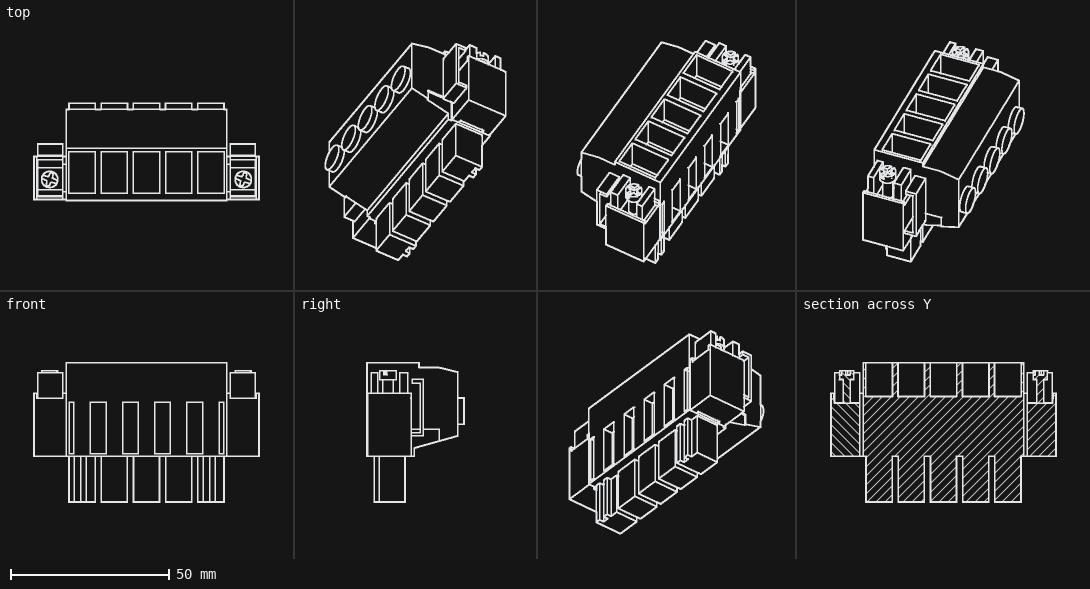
import cadquery as cq


POLES = 5
PITCH = 10.2
HOUSING_WIDTH = POLES * PITCH
HOUSING_END = HOUSING_WIDTH / 2

HOUSING_DEPTH = 28.8
HOUSING_HEIGHT = 29.65
STEP_Y = 16.6
STEP_Z = 28.15
ROOF_SLOPE_Y = 22.6
BACK_TOP_Z = 26.7
BACK_BOTTOM_Z = 6.5
FOOT_Y = 15.1
FOOT_Z = 2.6

CELL_WIDTH = 8.3
CELL_FRONT_Y = 2.35
CELL_BACK_Y = 15.5
CELL_DEPTH = 10.7

SLOT_WIDTH = 5
SLOT_DEPTH = 3.35
SLOT_BOTTOM_Z = 0.8
SLOT_TOP_Z = 17.15
END_WALL = 1.1

RECESS_DEPTH = 0.5
RECESS_BACK_Y = 22.8
RECESS_TOP_Z = 8.6

SLEEVE_WIDTH = 8.3
PLAIN_SLEEVE_FRONT_Y = 3.1
SLEEVE_BACK_Y = 12.1
SLEEVE_LENGTH = 14.45
KEY_FRONT_Y = 2.35
KEY_WIDTH = 1.7
KEY_GAP = 2.05
KEY_HEIGHT = 1.6

WIRE_SCREW_DIAMETER = 8.4
WIRE_SCREW_LENGTH = 2.0
WIRE_SCREW_Z = 14.3

FLANGE_END = 35.55
FLANGE_FRONT_Y = 0.3
FLANGE_BACK_Y = 14.0
FLANGE_HEIGHT = 20.0
NOTCH_FLOOR_Z = 18.4
WELL_FLOOR_Z = 16.9
FLANGE_WALL = 0.9
GAP_WIDTH = 1.0
GAP_FRONT_Y = 2.85
GAP_BACK_Y = 11.45

ARM_CLEARANCE = 0.2
ARM_TOP_Z = 26.45
FRONT_ARM_Y = (1.5, 3.5)
BACK_ARM_Y = (10.4, 12.95)

HOOK_BACK_Y = 17.9
HOOK_TIP_Y = 14.4
HOOK_PLATE = 1.1
HOOK_BOTTOM_Z = 6.5
HOOK_TOP_Z = 24.4
HOOK_LIP = 1.3

FLANGE_SCREW_X = 30.6
FLANGE_SCREW_Y = 6.7
SHANK_DIAMETER = 3.3
HEAD_DIAMETER = 5.1
HEAD_BOTTOM_Z = 24.25
HEAD_HEIGHT = 2.85
DRIVE_DEPTH = 1.35
DRIVE_ROOT_WIDTH = 1.35
DRIVE_TIP_WIDTH = 0.9
DRIVE_LONG_REACH = 2.85
DRIVE_SHORT_REACH = 2.1
DRIVE_ANGLE = -19


def block(x_range, y_range, z_range):
    """Box between the given limits on each axis."""
    sizes = [high - low for low, high in (x_range, y_range, z_range)]
    corner = (x_range[0], y_range[0], z_range[0])
    return cq.Workplane("XY").box(*sizes, centered=False).translate(corner)


def centred_on(x, width):
    return (x - width / 2, x + width / 2)


def pole_positions():
    return [(pole - (POLES - 1) / 2) * PITCH for pole in range(POLES)]


def housing_shell():
    outline = [
        (0, 0),
        (0, HOUSING_HEIGHT),
        (STEP_Y, HOUSING_HEIGHT),
        (STEP_Y, STEP_Z),
        (ROOF_SLOPE_Y, STEP_Z),
        (HOUSING_DEPTH, BACK_TOP_Z),
        (HOUSING_DEPTH, BACK_BOTTOM_Z),
        (FOOT_Y, FOOT_Z),
        (FOOT_Y, 0),
    ]
    return cq.Workplane("YZ").polyline(outline).close().extrude(HOUSING_END, both=True)


def cell(x):
    return block(
        centred_on(x, CELL_WIDTH),
        (CELL_FRONT_Y, CELL_BACK_Y),
        (HOUSING_HEIGHT - CELL_DEPTH, HOUSING_HEIGHT),
    )


def front_slot(x):
    """Slot centred on a pole border; at the housing ends only the part inside the end wall remains."""
    limit = HOUSING_END - END_WALL
    left, right = centred_on(x, SLOT_WIDTH)
    return block((max(left, -limit), min(right, limit)), (0, SLOT_DEPTH), (SLOT_BOTTOM_Z, SLOT_TOP_Z))


def end_recess():
    """Recess in the left end face that runs out through the sloping underside."""
    return block(
        (-HOUSING_END, -HOUSING_END + RECESS_DEPTH),
        (FLANGE_BACK_Y, RECESS_BACK_Y),
        (0, RECESS_TOP_Z),
    )


def sleeve(x_range, front_y):
    return block(x_range, (front_y, SLEEVE_BACK_Y), (-SLEEVE_LENGTH, 0))


def keyed_sleeve(x):
    """Sleeve with two upright keys on its front, one at the left edge and one beside it."""
    left, right = centred_on(x, SLEEVE_WIDTH)
    body = sleeve((left, right), KEY_FRONT_Y + KEY_HEIGHT)
    for key_left in (left, left + KEY_WIDTH + KEY_GAP):
        body = body.union(sleeve((key_left, key_left + KEY_WIDTH), KEY_FRONT_Y))
    return body


def make_housing():
    body = housing_shell()
    for x in pole_positions():
        body = body.cut(cell(x))
    for border in range(POLES + 1):
        body = body.cut(front_slot(border * PITCH - HOUSING_END))
    body = body.cut(end_recess()).cut(end_recess().mirror("YZ"))
    first, *middle, last = pole_positions()
    for x in middle:
        body = body.union(sleeve(centred_on(x, SLEEVE_WIDTH), PLAIN_SLEEVE_FRONT_Y))
    for x in (first, last):
        body = body.union(keyed_sleeve(x))
    return body


def make_wire_screw(x):
    return (
        cq.Workplane("XZ", origin=(x, HOUSING_DEPTH, WIRE_SCREW_Z))
        .circle(WIRE_SCREW_DIAMETER / 2)
        .extrude(-WIRE_SCREW_LENGTH)
    )


def flange_hook(x_range):
    """C-shaped hook: an upright plate with a lip at the top and a foot that joins the flange."""
    plate_y = HOOK_BACK_Y - HOOK_PLATE
    outline = [
        (FLANGE_BACK_Y, HOOK_BOTTOM_Z),
        (HOOK_BACK_Y, HOOK_BOTTOM_Z),
        (HOOK_BACK_Y, HOOK_TOP_Z),
        (HOOK_TIP_Y, HOOK_TOP_Z),
        (HOOK_TIP_Y, HOOK_TOP_Z - HOOK_LIP),
        (plate_y, HOOK_TOP_Z - HOOK_LIP),
        (plate_y, HOOK_BOTTOM_Z + HOOK_PLATE),
        (FLANGE_BACK_Y, HOOK_BOTTOM_Z + HOOK_PLATE),
    ]
    left, right = x_range
    return cq.Workplane("YZ", origin=(left, 0, 0)).polyline(outline).close().extrude(right - left)


def make_left_flange():
    """Block notched across its top, with a well that holds the two arms, and the hook at its back."""
    flange_y = (FLANGE_FRONT_Y, FLANGE_BACK_Y)
    gap_x = (-HOUSING_END - GAP_WIDTH, -HOUSING_END)
    notch_x = (-FLANGE_END + FLANGE_WALL, gap_x[0])
    arm_x = (notch_x[0] + ARM_CLEARANCE, notch_x[1])
    well_y = (FRONT_ARM_Y[0] - ARM_CLEARANCE, BACK_ARM_Y[1])

    body = block((-FLANGE_END, -HOUSING_END), flange_y, (0, FLANGE_HEIGHT))
    body = body.cut(block(notch_x, flange_y, (NOTCH_FLOOR_Z, FLANGE_HEIGHT)))
    body = body.cut(block(gap_x, (GAP_FRONT_Y, GAP_BACK_Y), (0, FLANGE_HEIGHT)))
    body = body.cut(block(arm_x, well_y, (WELL_FLOOR_Z, FLANGE_HEIGHT)))
    for arm_y in (FRONT_ARM_Y, BACK_ARM_Y):
        body = body.union(block(arm_x, arm_y, (WELL_FLOOR_Z, ARM_TOP_Z)))
    return body.union(flange_hook(arm_x))


def drive_arm(reach, angle):
    """Two opposite arms of the cross recess, each tapering from the centre to its tip."""
    root = DRIVE_ROOT_WIDTH / 2
    tip = DRIVE_TIP_WIDTH / 2
    half = [(root, -root), (reach, -tip), (reach, tip), (root, root)]
    outline = half + [(-x, -y) for x, y in half]
    return (
        cq.Workplane("XY")
        .polyline(outline)
        .close()
        .extrude(-DRIVE_DEPTH)
        .rotate((0, 0, 0), (0, 0, 1), angle)
    )


def make_flange_screw(x):
    """Cross-head screw standing on the floor of the well between the flange arms."""
    base = cq.Workplane("XY", origin=(x, FLANGE_SCREW_Y, WELL_FLOOR_Z))
    shank = base.circle(SHANK_DIAMETER / 2).extrude(HEAD_BOTTOM_Z - WELL_FLOOR_Z)
    head = shank.faces(">Z").workplane().circle(HEAD_DIAMETER / 2).extrude(HEAD_HEIGHT)
    head_top = (x, FLANGE_SCREW_Y, HEAD_BOTTOM_Z + HEAD_HEIGHT)
    long_arm = drive_arm(DRIVE_LONG_REACH, DRIVE_ANGLE).translate(head_top)
    short_arm = drive_arm(DRIVE_SHORT_REACH, DRIVE_ANGLE + 90).translate(head_top)
    return head.cut(long_arm).cut(short_arm)


housing = make_housing()
wire_screws = [make_wire_screw(x) for x in pole_positions()]
left_flange = make_left_flange()
right_flange = left_flange.mirror("YZ")
flange_screws = [make_flange_screw(x) for x in (-FLANGE_SCREW_X, FLANGE_SCREW_X)]

bodies = [housing, *wire_screws, left_flange, right_flange, *flange_screws]
result = cq.Compound.makeCompound([body.val() for body in bodies])